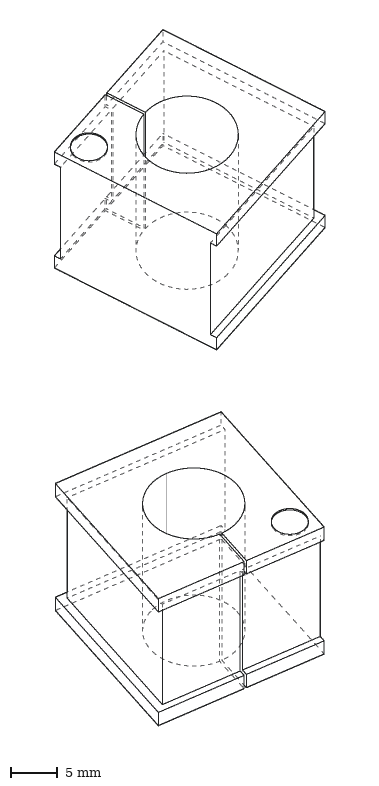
import cadquery as cq

side = 21
height = 19.0

flange_thickness = 2.0
waist_inset_x = 0.8
waist_inset_back = 1.0
waist_height = height - 2 * flange_thickness

bore_diameter = 11.0
bore_y = -0.5

slit_width = 0.3

recess_diameter = 4
recess_depth = 0.2
recess_edge_distance = 2.69
recess_x = recess_edge_distance - side / 2
recess_y = recess_edge_distance - side / 2


def make_spool():
    """Square block whose waist is stepped in on both sides and at the back."""
    block = cq.Workplane("XY").box(side, side, height, centered=(True, True, False))
    for direction in (-1, 1):
        side_step = (
            cq.Workplane("XY")
            .box(2 * waist_inset_x, side, waist_height, centered=(True, True, False))
            .translate((direction * side / 2, 0, flange_thickness))
        )
        block = block.cut(side_step)
    back_step = (
        cq.Workplane("XY")
        .box(side, 2 * waist_inset_back, waist_height, centered=(True, True, False))
        .translate((0, side / 2, flange_thickness))
    )
    return block.cut(back_step)


def make_bore():
    """Through hole along Z."""
    return cq.Workplane("XY").center(0, bore_y).circle(bore_diameter / 2).extrude(height)


def make_slit():
    """Thin full-height gap from the -X side to the bore axis."""
    return (
        cq.Workplane("XY")
        .box(side / 2, slit_width, height, centered=(False, True, False))
        .translate((-side / 2, bore_y, 0))
    )


def make_recess():
    """Shallow round pocket sunk into the top face."""
    return (
        cq.Workplane("XY", origin=(recess_x, recess_y, height))
        .circle(recess_diameter / 2)
        .extrude(-recess_depth)
    )


result = make_spool().cut(make_bore()).cut(make_slit()).cut(make_recess())